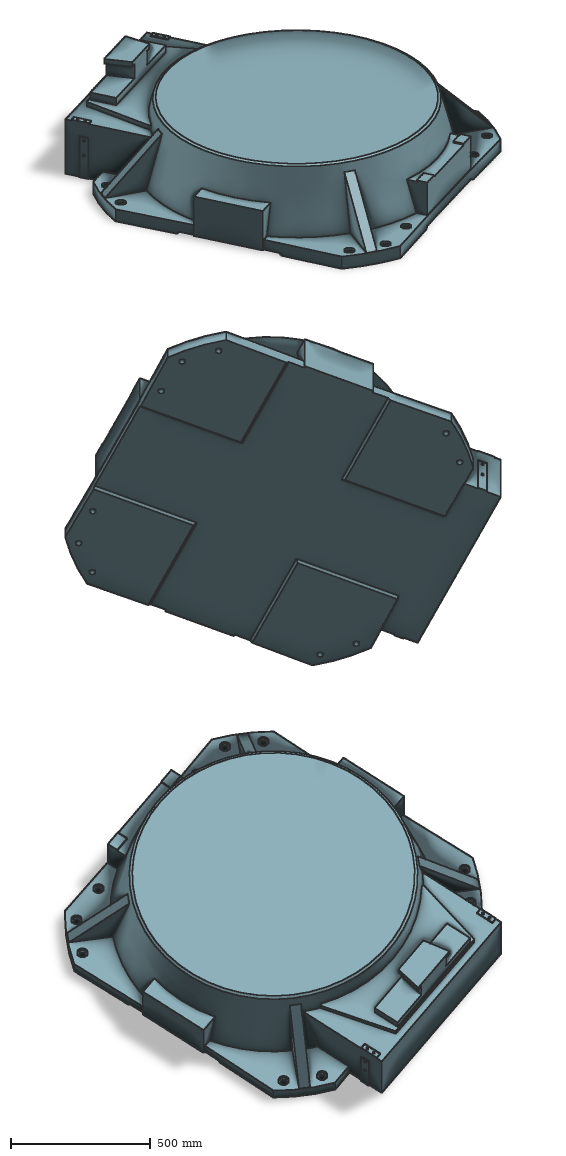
import cadquery as cq
import math

overlap = 7.0

foot_height = 10.0
plate_top = 50.0
plate_half = 599.0
corner_half = 603.0
corner_radius = 750.0
foot_gap_half = 196.0
foot_gap_chamfer = 10.0

hole_diameter = 22.0
counterbore_diameter = 38.0
counterbore_depth = 14.0
corner_hole_near = 449.0
corner_hole_far = 548.0
side_hole_x = 561.0
side_hole_y = 298.0

dome_base_radius = 587.0
dome_shoulder_radius = 518.0
dome_shoulder_height = 303.0
dome_top_radius = 507.0
dome_height = 308.0

rib_width = 40.0
rib_top = 270.0
rib_inner_radius = 526.0
rib_outer_radius = 747.0
rib_embedment = 54.0

pad_half_width = 135.0
pad_outer_span = 1213.0
pad_top = 170.0

connector_outer_x = 598.0
connector_half_width = 192.0
connector_top = 179.0
connector_tab_inner_x = 556.0
connector_tab_width = 61.0
connector_tab_height = 5.0

box_outer_x = 750.0
box_half_width = 361.0
box_top = 231.0

shelf_top = 249.0
shelf_outer_x = 721.0
shelf_outer_half_width = 238.0
shelf_inner_x = 438.0
shelf_inner_half_width = 312.0

block_outer_x = 715.0
block_inner_x = 613.0
block_half_width = 219.0
block_top = 279.0
neck_half_width = 76.0
cap_bottom = 335.0
cap_half_width = 95.0
block_taper = 19.0
block_summit = 355.0

bracket_thickness = 4.0
bracket_hole_diameter = 8.0
side_bracket_x = (-694.0, -659.0)
side_bracket_top = 176.0
side_bracket_hole_heights = (100.0, 161.0)
top_bracket_x = (-726.0, -657.0)
top_bracket_width = 22.0
top_bracket_hole_x = (-706.0, -676.0)


def box_between(x_range, y_range, z_range):
    """Axis-aligned box spanning the given (low, high) ranges."""
    lows = [r[0] for r in (x_range, y_range, z_range)]
    sizes = [r[1] - r[0] for r in (x_range, y_range, z_range)]
    return cq.Workplane("XY").box(*sizes, centered=False).translate(tuple(lows))


def symmetric(half):
    return (-half, half)


def quarter_turned(x, y, quarters):
    """Point (x, y) turned about the origin by a number of quarter turns."""
    for _ in range(quarters):
        x, y = -y, x
    return (x, y)


def tapered_prism(outer_half_width, inner_half_width, x_range, z_range):
    """Upright prism, symmetric in Y, whose half width changes from low X to high X."""
    outer_x, inner_x = x_range
    outline = [
        (outer_x, -outer_half_width),
        (inner_x, -inner_half_width),
        (inner_x, inner_half_width),
        (outer_x, outer_half_width),
    ]
    bottom, top = z_range
    return cq.Workplane("XY", origin=(0, 0, bottom)).polyline(outline).close().extrude(top - bottom)


def make_base_plate():
    """Square plate with round corners, slightly waisted sides and four feet."""
    arc_end = math.sqrt(corner_radius**2 - corner_half**2)
    arc_middle = corner_radius / math.sqrt(2)
    outline = cq.Workplane("XY").moveTo(plate_half, -pad_half_width)
    for quarter in range(4):
        if quarter > 0:
            outline = outline.lineTo(*quarter_turned(plate_half, -pad_half_width, quarter))
        outline = (
            outline
            .lineTo(*quarter_turned(plate_half, pad_half_width, quarter))
            .lineTo(*quarter_turned(corner_half, arc_end, quarter))
            .threePointArc(
                quarter_turned(arc_middle, arc_middle, quarter),
                quarter_turned(arc_end, corner_half, quarter),
            )
        )
    plate = outline.close().extrude(plate_top)

    gap_bottom_half = foot_gap_half + foot_gap_chamfer
    gap_profile = [
        (-gap_bottom_half, 0),
        (gap_bottom_half, 0),
        (foot_gap_half, foot_height),
        (-foot_gap_half, foot_height),
    ]
    for plane in ("XZ", "YZ"):
        gap = cq.Workplane(plane).polyline(gap_profile).close().extrude(corner_radius, both=True)
        plate = plate.cut(gap)
    return plate


def make_dome():
    """Tapered drum with a bevelled upper edge."""
    return (
        cq.Workplane("XZ")
        .moveTo(0, foot_height)
        .lineTo(dome_base_radius, foot_height)
        .lineTo(dome_base_radius, plate_top)
        .lineTo(dome_shoulder_radius, dome_shoulder_height)
        .lineTo(dome_top_radius, dome_height)
        .lineTo(0, dome_height)
        .close()
        .revolve(360, (0, 0, 0), (0, 1, 0))
    )


def make_ribs():
    """Four sloping ribs running from the dome to the plate corners."""
    rib_root = rib_inner_radius - rib_embedment
    profile = [
        (rib_root, plate_top - overlap),
        (rib_outer_radius, plate_top - overlap),
        (rib_outer_radius, plate_top),
        (rib_inner_radius, rib_top),
        (rib_root, rib_top),
    ]
    rib = cq.Workplane("XZ").polyline(profile).close().extrude(rib_width / 2, both=True)
    ribs = cq.Workplane("XY")
    for angle in (45, 135, 225, 315):
        ribs = ribs.union(rib.rotate((0, 0, 0), (0, 0, 1), angle))
    return ribs


def make_side_pads():
    """Upright pads in the middle of the +Y and -Y sides."""
    return box_between(symmetric(pad_half_width), symmetric(pad_outer_span / 2), (foot_height, pad_top))


def make_connector_housing():
    """Low housing on the +X side with a raised tab at each end."""
    housing = box_between(
        (0, connector_outer_x),
        symmetric(connector_half_width),
        (foot_height, connector_top),
    )
    tab = box_between(
        (connector_tab_inner_x, connector_outer_x),
        (connector_half_width - connector_tab_width, connector_half_width),
        (connector_top - overlap, connector_top + connector_tab_height),
    )
    return housing.union(tab).union(tab.mirror("XZ"))


def make_control_box():
    """Box on the -X side carrying a wedge-shaped shelf."""
    body = box_between((-box_outer_x, 0), symmetric(box_half_width), (foot_height, box_top))
    shelf = tapered_prism(
        shelf_outer_half_width,
        shelf_inner_half_width,
        (-shelf_outer_x, -shelf_inner_x),
        (box_top - overlap, shelf_top),
    )
    return body.union(shelf)


def make_stepped_block():
    """Low block with a neck and an overhanging cap that both narrow towards +X."""
    length = (-block_outer_x, -block_inner_x)
    low_block = box_between(length, symmetric(block_half_width), (shelf_top - overlap, block_top))
    neck = tapered_prism(
        neck_half_width,
        neck_half_width - block_taper,
        length,
        (block_top - overlap, cap_bottom),
    )
    cap = tapered_prism(
        cap_half_width,
        cap_half_width - block_taper,
        length,
        (cap_bottom, block_summit),
    )
    return low_block.union(neck).union(cap)


def make_brackets():
    """Thin drilled plates on the side and top of the control box, at both ends."""
    side_face = box_half_width + bracket_thickness
    top_face = box_top + bracket_thickness
    side = box_between(side_bracket_x, (box_half_width - overlap, side_face), (foot_height, side_bracket_top))
    side_hole_centre = sum(side_bracket_x) / 2
    for height in side_bracket_hole_heights:
        hole = (
            cq.Workplane("XZ", origin=(side_hole_centre, side_face, height))
            .circle(bracket_hole_diameter / 2)
            .extrude(bracket_thickness)
        )
        side = side.cut(hole)

    top_inner_y = box_half_width - top_bracket_width
    top = box_between(top_bracket_x, (top_inner_y, box_half_width), (box_top - overlap, top_face))
    for hole_x in top_bracket_hole_x:
        hole = (
            cq.Workplane("XY", origin=(hole_x, (top_inner_y + box_half_width) / 2, box_top))
            .circle(bracket_hole_diameter / 2)
            .extrude(bracket_thickness)
        )
        top = top.cut(hole)

    pair = side.union(top)
    return pair.union(pair.mirror("XZ"))


def cut_mounting_holes(body):
    """Counterbored holes: two at each corner and two more on the +X side."""
    points = [(side_hole_x, side_hole_y), (side_hole_x, -side_hole_y)]
    for x_sign in (-1, 1):
        for y_sign in (-1, 1):
            points.append((x_sign * corner_hole_near, y_sign * corner_hole_far))
            points.append((x_sign * corner_hole_far, y_sign * corner_hole_near))
    return (
        body.copyWorkplane(cq.Workplane("XY", origin=(0, 0, plate_top)))
        .pushPoints(points)
        .cboreHole(hole_diameter, counterbore_diameter, counterbore_depth, plate_top)
    )


result = make_base_plate()
for feature in (
    make_dome(),
    make_ribs(),
    make_side_pads(),
    make_connector_housing(),
    make_control_box(),
    make_stepped_block(),
    make_brackets(),
):
    result = result.union(feature)
result = cut_mounting_holes(result)